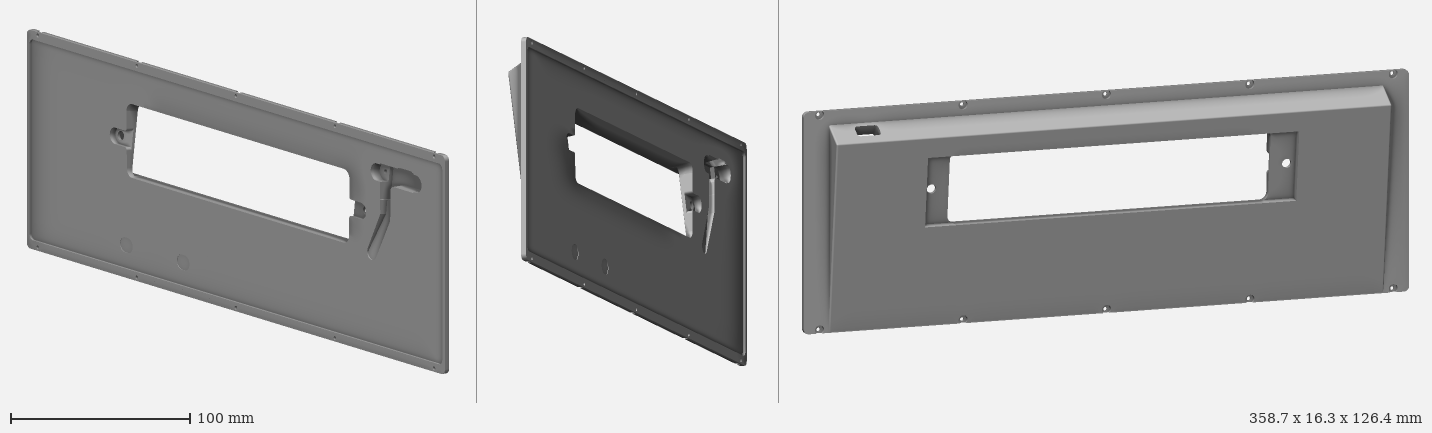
import cadquery as cq
import math

WIDTH = 358.73
HEIGHT = 126.36
DEPTH = 16.34
FLANGE_THICKNESS = 3.0
CORNER_RADIUS = 3.0
RIM_SIDE = 2.3
RIM_TOP = 5.2
RECESS_DEPTH = 1.5
RECESS_CORNER_RADIUS = 3.0

WEDGE_WIDTH = 329.0
WEDGE_TILT = 7.0
WEDGE_PEAK_Z = 46.5
WEDGE_TOP_Z = 55.0
WEDGE_FILLET = 1.0

DRAFT = 4.0

RIM_HOLE_DIAMETER = 2.2
RIM_HOLE_PITCH = 85.0
RIM_HOLE_COUNT = 5
RIM_HOLE_EDGE = 2.0
RIM_COUNTERBORE_DIAMETER = 5.3
RIM_COUNTERBORE_DEPTH = 1.8

WINDOW_WIDTH = 189.4
WINDOW_HEIGHT = 40.8
WINDOW_CENTRE = 14.8
WINDOW_CORNER_RADIUS = 4.0
RELIEF_DEPTH = 5.2
TAB_SPACING = 210.5
TAB_WIDTH = 9.5
TAB_CENTRE = 15.0
TAB_FLOOR = 7.0
TAB_FILLET = 1.5
TAB_HOLE_DIAMETER = 5.3

HEAD_CENTRE_X = 135.7
HEAD_CENTRE = 40.0
HEAD_WIDTH = 10.0
HEAD_SCREW_SPACING = 33.6
HEAD_FLOOR = 7.5
SCREW_DIAMETER = 2.5
SCREW_DEPTH = 4.0
LEVER_WIDTH = 8.0
LEVER_X = 126.4
LEVER_BEND = 15.5
LEVER_TIP_X = 114.9
LEVER_TIP = -7.2
LEVER_FLOOR = 7.3
DEEP_FLOOR = 5.0
DEEP_BOTTOM = 25.0
DEEP_RIGHT_X = 150.0
DEEP_CORNER_RADIUS = 3.0

SLOT_X = 143.4
SLOT_LENGTH = 14.0
SLOT_WIDTH = 8.0
SLOT_CORNER_RADIUS = 2.0
SLOT_Y = 8.5
SLOT_DEPTH = 10.0

MARK_XS = (-95.7, -47.0)
MARK_LENGTH = 10.8
MARK_WIDTH = 8.7
MARK_Z = -44.9
MARK_DEPTH = 0.3

TAB_LENGTH = TAB_SPACING + TAB_WIDTH
tilt = math.radians(WEDGE_TILT)


def wedge_peak_y():
    """Y of the sharp peak, set so that the rounded peak just reaches DEPTH."""
    top_lean = math.atan2(WEDGE_TOP_Z - WEDGE_PEAK_Z, DEPTH - FLANGE_THICKNESS)
    top_normal = math.pi / 2 - top_lean
    half_turn = (top_normal + tilt) / 2
    centre_inset = WEDGE_FILLET / math.cos(half_turn) * math.cos(top_normal - half_turn)
    return DEPTH + centre_inset - WEDGE_FILLET


peak_y = wedge_peak_y()
wedge_bottom_z = WEDGE_PEAK_Z - (peak_y - FLANGE_THICKNESS) / math.tan(tilt)
back_y_at_zero = peak_y - WEDGE_PEAK_Z * math.tan(tilt)


def front_plane(y):
    """Plane facing -Y with X to the right and Z up."""
    return cq.Workplane("XZ", origin=(0, y, 0))


def tilted_plane(height):
    """Plane parallel to the sloped back, a given height in front of it."""
    plane = cq.Plane(
        origin=(0, back_y_at_zero, 0),
        xDir=(1, 0, 0),
        normal=(0, -math.cos(tilt), math.sin(tilt)),
    )
    return cq.Workplane(plane).workplane(offset=height)


def make_flange():
    flange = front_plane(0).rect(WIDTH, HEIGHT).extrude(-FLANGE_THICKNESS)
    return flange.edges("|Y").fillet(CORNER_RADIUS)


def make_wedge():
    profile = [
        (FLANGE_THICKNESS, wedge_bottom_z),
        (peak_y, WEDGE_PEAK_Z),
        (FLANGE_THICKNESS, WEDGE_TOP_Z),
    ]
    wedge = cq.Workplane("YZ").polyline(profile).close().extrude(WEDGE_WIDTH / 2, both=True)
    return wedge.edges("not(<Y)").fillet(WEDGE_FILLET)


def cut_recess(body):
    recess = front_plane(0).rect(WIDTH - 2 * RIM_SIDE, HEIGHT - 2 * RIM_TOP).extrude(-RECESS_DEPTH)
    return body.cut(recess.edges("|Y").fillet(RECESS_CORNER_RADIUS))


def rim_cylinders(y, diameter, length):
    hole_rows = HEIGHT - 2 * RIM_HOLE_EDGE
    centres = front_plane(y).rarray(RIM_HOLE_PITCH, hole_rows, RIM_HOLE_COUNT, 2)
    return centres.circle(diameter / 2).extrude(-length)


def cut_rim_holes(body):
    holes = rim_cylinders(0, RIM_HOLE_DIAMETER, FLANGE_THICKNESS)
    seat_y = FLANGE_THICKNESS - RIM_COUNTERBORE_DEPTH
    counterbores = rim_cylinders(seat_y, RIM_COUNTERBORE_DIAMETER, DEPTH)
    return body.cut(holes).cut(counterbores)


def round_tab_mouths(body):
    """Round the four upright edges where the tabs open into the window."""
    plane = tilted_plane(0).plane
    mid_height = (TAB_FLOOR + back_y_at_zero) / 2
    for side in (-1, 1):
        for end in (-1, 1):
            x = side * WINDOW_WIDTH / 2
            up = TAB_CENTRE + end * TAB_WIDTH / 2
            mouth = plane.toWorldCoords((x, up, mid_height)).toTuple()
            low = tuple(value - TAB_FILLET for value in mouth)
            high = tuple(value + TAB_FILLET for value in mouth)
            body = body.edges(cq.selectors.BoxSelector(low, high)).fillet(TAB_FILLET)
    return body


def cut_window(body):
    window = (
        tilted_plane(0)
        .center(0, WINDOW_CENTRE)
        .sketch()
        .rect(WINDOW_WIDTH, WINDOW_HEIGHT)
        .vertices()
        .fillet(WINDOW_CORNER_RADIUS)
        .finalize()
        .extrude(DEPTH, taper=-DRAFT)
    )
    relief = tilted_plane(0).center(0, WINDOW_CENTRE).rect(TAB_LENGTH, WINDOW_HEIGHT).extrude(RELIEF_DEPTH)
    tabs = tilted_plane(TAB_FLOOR).center(0, TAB_CENTRE).slot2D(TAB_LENGTH, TAB_WIDTH).extrude(DEPTH)
    holes = (
        tilted_plane(0)
        .center(0, TAB_CENTRE)
        .rarray(TAB_SPACING, 1, 2, 1)
        .circle(TAB_HOLE_DIAMETER / 2)
        .extrude(DEPTH)
    )
    return round_tab_mouths(body.cut(window).cut(relief).cut(tabs).cut(holes))


def lever_outline(plane):
    """Bent strip of constant width with a round tip."""
    lean = math.atan2(LEVER_X - LEVER_TIP_X, LEVER_BEND - LEVER_TIP)
    radius = LEVER_WIDTH / 2
    across = radius * math.cos(lean)
    along = radius * math.sin(lean)
    miter = radius * math.tan(lean / 2)
    tip_left = (LEVER_TIP_X - across, LEVER_TIP + along)
    tip_end = (LEVER_TIP_X - along, LEVER_TIP - across)
    tip_right = (LEVER_TIP_X + across, LEVER_TIP - along)
    return (
        plane.moveTo(LEVER_X - radius, HEAD_CENTRE)
        .lineTo(LEVER_X - radius, LEVER_BEND + miter)
        .lineTo(*tip_left)
        .threePointArc(tip_end, tip_right)
        .lineTo(LEVER_X + radius, LEVER_BEND - miter)
        .lineTo(LEVER_X + radius, HEAD_CENTRE)
        .close()
    )


def cut_lever_pocket(body):
    head = (
        tilted_plane(HEAD_FLOOR)
        .center(HEAD_CENTRE_X, HEAD_CENTRE)
        .slot2D(HEAD_SCREW_SPACING + HEAD_WIDTH, HEAD_WIDTH)
        .extrude(DEPTH)
    )
    lever = lever_outline(tilted_plane(LEVER_FLOOR)).extrude(DEPTH, taper=-DRAFT)
    left = LEVER_X - LEVER_WIDTH / 2
    right = LEVER_X + LEVER_WIDTH / 2
    top = HEAD_CENTRE + HEAD_WIDTH / 2
    head_bottom = HEAD_CENTRE - HEAD_WIDTH / 2
    deep = (
        tilted_plane(DEEP_FLOOR)
        .moveTo(left, top)
        .lineTo(DEEP_RIGHT_X, top)
        .lineTo(DEEP_RIGHT_X, head_bottom)
        .lineTo(right + DEEP_CORNER_RADIUS, head_bottom)
        .tangentArcPoint((right, head_bottom - DEEP_CORNER_RADIUS), relative=False)
        .lineTo(right, DEEP_BOTTOM)
        .lineTo(left, DEEP_BOTTOM)
        .close()
        .extrude(DEPTH, taper=-DRAFT)
    )
    screws = (
        tilted_plane(HEAD_FLOOR)
        .center(HEAD_CENTRE_X, HEAD_CENTRE)
        .rarray(HEAD_SCREW_SPACING, 1, 2, 1)
        .circle(SCREW_DIAMETER / 2)
        .extrude(-SCREW_DEPTH)
    )
    return body.cut(head).cut(lever).cut(deep).cut(screws)


def cut_top_slot(body):
    """Slot square to the sloped top face, running down into the lever pocket."""
    rise = WEDGE_TOP_Z - WEDGE_PEAK_Z
    run = peak_y - FLANGE_THICKNESS
    slot_z = WEDGE_TOP_Z - (SLOT_Y - FLANGE_THICKNESS) * rise / run
    plane = cq.Plane(origin=(SLOT_X, SLOT_Y, slot_z), xDir=(1, 0, 0), normal=(0, rise, run))
    slot = (
        cq.Workplane(plane)
        .sketch()
        .rect(SLOT_LENGTH, SLOT_WIDTH)
        .vertices()
        .fillet(SLOT_CORNER_RADIUS)
        .finalize()
        .extrude(-SLOT_DEPTH)
    )
    return body.cut(slot)


def cut_marks(body):
    for x in MARK_XS:
        mark = front_plane(RECESS_DEPTH).center(x, MARK_Z).slot2D(MARK_LENGTH, MARK_WIDTH).extrude(-MARK_DEPTH)
        body = body.cut(mark)
    return body


result = make_flange().union(make_wedge())
for cut in (cut_recess, cut_rim_holes, cut_window, cut_lever_pocket, cut_top_slot, cut_marks):
    result = cut(result)